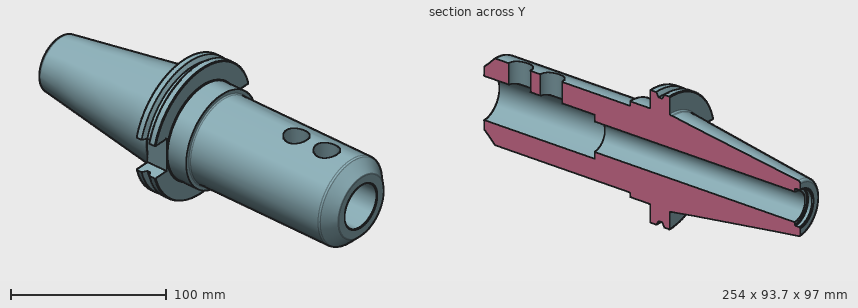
import cadquery as cq

total_length = 254.0

taper_length = 102.5
neck_dia = 70.4
taper_ratio = 7 / 24
taper_end_dia = neck_dia - taper_length * taper_ratio
taper_end_round = 2.0

flange_start = 104.7
flange_end = 120.7
flange_dia = 97.0
flange_edge_chamfer = 0.5
neck_root_fillet = 1.0
collar_root_fillet = 0.5
groove_start = 109.2
groove_width = 6.4
groove_floor_width = 2.5
groove_depth = 3.3

slot_width = 25.1
slot_floor_back = 37.5
slot_floor_front = 35.5

collar_dia = 70.0
collar_end = 136.7
nose_dia = 63.5
nose_root_fillet = 0.8
nose_chamfer = 9.0
nose_chamfer_blend = 2.0
nose_end_round = 0.8

through_dia = 21.8
recess_dia = 26.7
recess_depth = 3.8
drawbar_dia = 26.2
drawbar_depth = 4.5
recess_mouth_dia = 28.2
tool_bore_dia = 31.8
tool_bore_mouth_dia = 32.8
tool_bore_depth = 89.0

screw_hole_dia = 17.3
screw_hole_places = (200.0, 225.3)


def cylinder(start, end, diameter):
    return cq.Workplane("YZ").workplane(offset=start).circle(diameter / 2).extrude(end - start)


def revolve_about_axis(points):
    """Turn an outline of (x, radius) points about the X axis."""
    return cq.Workplane("XY").polyline(points).close().revolve(360, (0, 0, 0), (1, 0, 0))


def make_taper():
    outline = [(0, 0), (0, taper_end_dia / 2), (taper_length, neck_dia / 2), (taper_length, 0)]
    taper = revolve_about_axis(outline)
    return taper.faces("<X").edges().fillet(taper_end_round)


def make_flange():
    flange = cylinder(flange_start, flange_end, flange_dia).edges().chamfer(flange_edge_chamfer)
    rim = flange_dia / 2
    floor = rim - groove_depth
    groove_middle = groove_start + groove_width / 2
    groove = revolve_about_axis([
        (groove_middle - groove_width / 2, rim),
        (groove_middle - groove_floor_width / 2, floor),
        (groove_middle + groove_floor_width / 2, floor),
        (groove_middle + groove_width / 2, rim),
    ])
    return flange.cut(groove).cut(make_drive_slots())


def make_drive_slots():
    length = flange_end - flange_start
    slots = cq.Workplane("XY")
    for side, floor in ((1, slot_floor_back), (-1, slot_floor_front)):
        depth = flange_dia / 2 - floor
        middle = (flange_start + length / 2, side * (floor + depth / 2), 0)
        slots = slots.add(cq.Workplane("XY").box(length, depth, slot_width).translate(middle))
    return slots.combine()


def make_nose():
    nose = cylinder(collar_end, total_length, nose_dia).faces(">X").edges().chamfer(nose_chamfer)
    nose = nose.edges(cq.selectors.RadiusNthSelector(-1)).edges(">X").fillet(nose_chamfer_blend)
    return nose.faces(">X").edges().fillet(nose_end_round)


def make_root_fillet(shoulder, diameter, size, direction):
    """Concave ring where a cylinder meets a shoulder; direction is the way it runs along X."""
    inner = diameter / 2
    return (
        cq.Workplane("XY")
        .moveTo(shoulder, inner)
        .lineTo(shoulder, inner + size)
        .radiusArc((shoulder + direction * size, inner), -direction * size)
        .close()
        .revolve(360, (0, 0, 0), (1, 0, 0))
    )


def make_bores():
    recess_chamfer = (recess_mouth_dia - recess_dia) / 2
    tool_chamfer = (tool_bore_mouth_dia - tool_bore_dia) / 2
    tool_bore_start = total_length - tool_bore_depth
    return revolve_about_axis([
        (0, 0),
        (0, recess_mouth_dia / 2),
        (recess_chamfer, recess_dia / 2),
        (recess_depth, recess_dia / 2),
        (recess_depth, drawbar_dia / 2),
        (drawbar_depth, drawbar_dia / 2),
        (drawbar_depth, through_dia / 2),
        (tool_bore_start, through_dia / 2),
        (tool_bore_start, tool_bore_dia / 2),
        (total_length - tool_chamfer, tool_bore_dia / 2),
        (total_length, tool_bore_mouth_dia / 2),
        (total_length, 0),
    ])


def make_screw_holes():
    centres = [(x, 0) for x in screw_hole_places]
    return cq.Workplane("XY").pushPoints(centres).circle(screw_hole_dia / 2).extrude(nose_dia / 2)


neck = cylinder(taper_length, flange_start, neck_dia)
collar = cylinder(flange_start, collar_end, collar_dia)
body = make_taper().union(neck).union(collar).union(make_flange())
body = body.union(make_root_fillet(flange_start, neck_dia, neck_root_fillet, -1))
body = body.union(make_root_fillet(flange_end, collar_dia, collar_root_fillet, 1))
body = body.union(make_nose()).union(make_root_fillet(collar_end, nose_dia, nose_root_fillet, 1))
result = body.cut(make_bores()).cut(make_screw_holes())